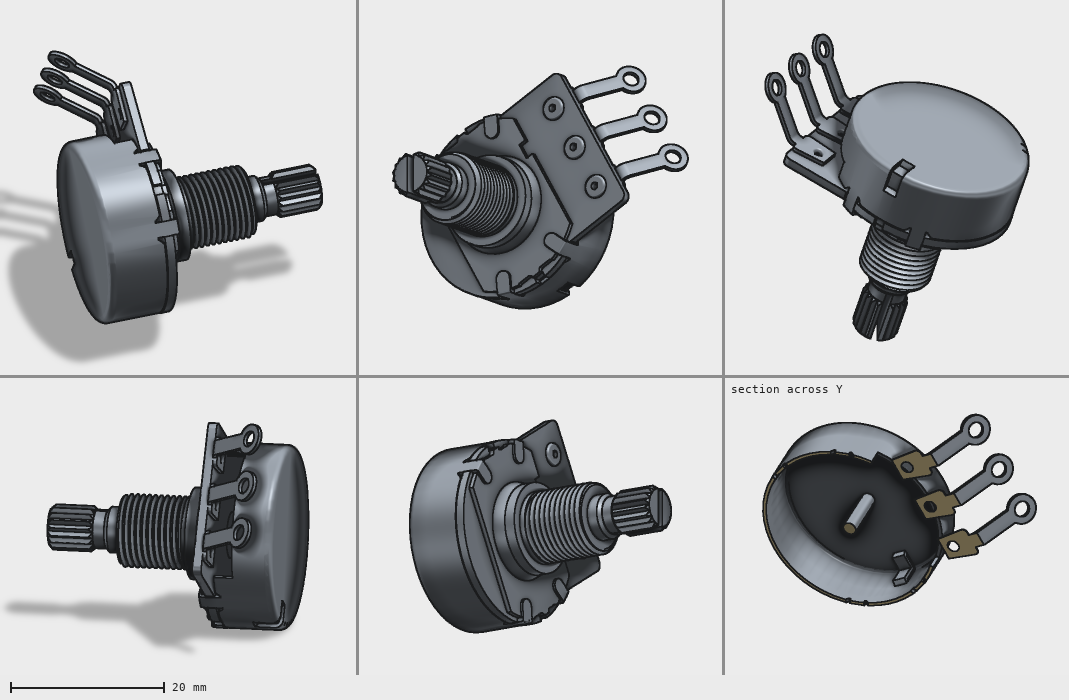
import cadquery as cq
import math


BODY_TURN = 30.0

CAN_RIM = 7.75
PLATE_BOTTOM = 7.9
PLATE_TOP = PLATE_BOTTOM + 1.18
BRACKET_TOP = PLATE_TOP + 0.65
CONE_TOP = BRACKET_TOP + 1.33
FLANGE_BOTTOM = CONE_TOP + 0.27
FLANGE_TOP = FLANGE_BOTTOM + 1.5
THREAD_BOTTOM = FLANGE_TOP + 0.78
BUSHING_TOP = 22.3
BARREL_TOP = 24.3
NECK_TOP = 25.8
SHAFT_TIP = 31.8

CAN_R = 12.07
CAN_WALL = 0.52
CAN_FILLET = 1.0
CAVITY_R = CAN_R - CAN_WALL
WINDOW_ANGLE = 90.0
WINDOW_FLOOR = 5.27

TAB_ANGLES = (65, 115, 245, 295)
TAB_WIDTH = 2.0
TAB_THICKNESS = 0.32
TAB_TOP = BRACKET_TOP + TAB_THICKNESS
TAB_TIP_CENTRE_R = 9.95
TAB_BEND_R = 0.3
RELIEF_DEPTH = 0.68
RELIEF_FLOOR_GAP = 0.2
RELIEF_RIM_GAP = 0.84

DENT_WIDTH = 1.86
DENT_DEPTH = 0.75
DENT_START = 8.87
DENT_HEIGHT = 3.58
DENT_SLOPE = 0.45

PLATE_R = 12.12
PLATE_HALF_WIDTH = 10.4
PLATE_END_X = -16.0
PLATE_CORNER_R = 1.0
KEY_WIDTH = 1.4
KEY_DEPTH = 0.7

BRACKET_R = 11.46
BRACKET_HALF_LENGTH = 7.58
BRACKET_NOTCH_DEPTH = 1.03
BRACKET_NOTCH_START = 2.82
BRACKET_NOTCH_WIDTH = 2.2
TONGUE_WIDTH = 1.33
TONGUE_RECESS_WIDTH = 2.3
TONGUE_RECESS_FLOOR = 10.95
TONGUE_RECESS_R = 0.4

TERMINAL_PITCH = 6.4
TERMINAL_THICKNESS = 0.52
RIVET_X = -12.95
PAD_INNER_X = -11.3
PAD_SHOULDER_X = -15.2
PAD_INNER_HALF = 1.6
PAD_OUTER_HALF = 2.0
PAD_CORNER_R = 0.6
STRIP_HALF = 1.0
BEND_START_X = -16.25
BEND_INNER_R = 1.0
BEND_ANGLE = 50.0
STRIP_LENGTH = 6.7
EYE_R = 1.97
EYE_HOLE_R = 1.03
RIVET_HEAD_R = 1.55
RIVET_HEAD_HEIGHT = 0.4
RIVET_HEAD_FILLET = 0.35
RIVET_BORE_R = 0.47
RIVET_FLARE_R = 0.53

CONE_BASE_R = 6.5
CONE_TOP_R = 6.1
FLANGE_R = 6.0
THREAD_R = 4.78
THREAD_PITCH = 25.4 / 32
THREAD_ROOT_R = 4.1
THREAD_ROOT_OVERLAP = 0.05
THREAD_RIDGE_SHARE = 0.96
THREAD_LEAD_IN = 0.43

SHAFT_R = 3.0
PIVOT_R = 0.9
BARREL_CHAMFER = 0.5
NECK_R = 2.54
SPLINE_COUNT = 18
SPLINE_CREST_R = 3.0
SPLINE_ROOT_R = 2.45
SPLINE_CHAMFER = 0.5
SLOT_WIDTH = 0.91


def polar(radius, degrees):
    """Point at a radius and an angle about the axis."""
    return (radius * math.cos(math.radians(degrees)), radius * math.sin(math.radians(degrees)))


def disc(radius, bottom, top):
    """Round slab on the shaft axis."""
    return cq.Workplane("XY").workplane(offset=bottom).circle(radius).extrude(top - bottom)


def block(x_min, x_max, y_min, y_max, z_min, z_max):
    """Box given by its limits."""
    corner = cq.Vector(x_min, y_min, z_min)
    return cq.Workplane(cq.Solid.makeBox(x_max - x_min, y_max - y_min, z_max - z_min, corner))


def spin(shape, degrees):
    """Shape turned about the shaft axis."""
    return shape.rotate((0, 0, 0), (0, 0, 1), degrees)


def make_window():
    """Wedge of the can wall left open under the terminals."""
    reach = 2 * CAN_R
    corners = [(0, 0), polar(reach, 180 - WINDOW_ANGLE / 2), polar(reach, 180 + WINDOW_ANGLE / 2)]
    wedge = cq.Workplane("XY").workplane(offset=WINDOW_FLOOR).polyline(corners).close()
    return wedge.extrude(CAN_RIM - WINDOW_FLOOR)


def make_tab_outline():
    """Plan of a folded tab on the +X side, as a prism standing on the can rim."""
    half = TAB_WIDTH / 2
    return (
        cq.Workplane("XY").workplane(offset=CAN_RIM)
        .moveTo(CAN_R + 1, -half).lineTo(TAB_TIP_CENTRE_R, -half)
        .threePointArc((TAB_TIP_CENTRE_R - half, 0), (TAB_TIP_CENTRE_R, half))
        .lineTo(CAN_R + 1, half).close().extrude(TAB_TOP - CAN_RIM)
    )


def make_tab_relief():
    """Clearance in the rim beside one edge of a tab on the +X side."""
    edge = TAB_WIDTH / 2
    floor = CAN_RIM - RELIEF_DEPTH
    points = [
        (edge, CAN_RIM), (edge, floor), (edge + RELIEF_FLOOR_GAP, floor), (edge + RELIEF_RIM_GAP, CAN_RIM),
    ]
    return cq.Workplane("YZ").polyline(points).close().extrude(CAN_R + 1)


def dent_section(inset):
    """L-shaped space from outside the can to the lanced strip, grown by an inset into the can."""
    depth = DENT_DEPTH + inset
    start = DENT_START - inset
    height = DENT_HEIGHT + inset
    wall = CAN_R - depth
    outside = CAN_R + 1
    points = [
        (start, -1), (start, 0), (start + DENT_SLOPE, depth), (wall, depth),
        (wall, height - DENT_SLOPE), (CAN_R, height), (outside, height), (outside, -1),
    ]
    return cq.Workplane("YZ").polyline(points).close().extrude(DENT_WIDTH / 2, both=True)


def make_can():
    envelope = disc(CAN_R, 0, TAB_TOP).faces("<Z").edges().fillet(CAN_FILLET)
    envelope = envelope.faces(">Z").edges().fillet(TAB_BEND_R)
    cavity = disc(CAVITY_R, CAN_WALL, BRACKET_TOP).faces("<Z").edges().fillet(CAN_FILLET - CAN_WALL)
    open_rim = disc(CAN_R + 1, CAN_RIM, TAB_TOP)
    for angle in TAB_ANGLES:
        open_rim = open_rim.cut(spin(make_tab_outline(), angle))
    can = envelope.cut(cavity).cut(open_rim).cut(make_window())

    relief = make_tab_relief()
    for angle in TAB_ANGLES:
        can = can.cut(spin(relief, angle))
        can = can.cut(spin(relief.mirror("XZ"), angle))

    strip = dent_section(CAN_WALL).cut(dent_section(0)).intersect(envelope)
    return can.cut(dent_section(CAN_WALL)).union(strip)


def make_plate():
    thickness = PLATE_TOP - PLATE_BOTTOM
    tail = block(PLATE_END_X, 0, -PLATE_HALF_WIDTH, PLATE_HALF_WIDTH, PLATE_BOTTOM, PLATE_TOP)
    tail = tail.edges("|Z and <X").fillet(PLATE_CORNER_R)
    plate = disc(PLATE_R, PLATE_BOTTOM, PLATE_TOP).union(tail)
    keys = (
        cq.Workplane("XY").workplane(offset=PLATE_BOTTOM)
        .pushPoints([(0, PLATE_R), (0, -PLATE_R)]).rect(KEY_WIDTH, 2 * KEY_DEPTH).extrude(thickness)
    )
    tab_slot = block(CAVITY_R, PLATE_R + 1, -TAB_WIDTH / 2, TAB_WIDTH / 2, PLATE_BOTTOM, PLATE_TOP)
    plate = plate.cut(keys)
    for angle in TAB_ANGLES:
        plate = plate.cut(spin(tab_slot, angle))
    return plate


def make_bracket():
    length = BRACKET_HALF_LENGTH
    bracket = disc(BRACKET_R, PLATE_TOP, BRACKET_TOP).intersect(
        block(-length, length, -BRACKET_R, BRACKET_R, PLATE_TOP, BRACKET_TOP)
    )
    notch_end = -BRACKET_NOTCH_START - BRACKET_NOTCH_WIDTH
    notch = block(
        -length, -length + BRACKET_NOTCH_DEPTH, notch_end, -BRACKET_NOTCH_START, PLATE_TOP, BRACKET_TOP
    )
    bracket = bracket.cut(notch)
    recess_x = (TONGUE_WIDTH + TONGUE_RECESS_WIDTH) / 2
    recess_depth = 2 * (BRACKET_R - TONGUE_RECESS_FLOOR)
    recesses = (
        cq.Workplane("XY").workplane(offset=PLATE_TOP)
        .pushPoints([(x, y) for x in (-recess_x, recess_x) for y in (-BRACKET_R, BRACKET_R)])
        .rect(TONGUE_RECESS_WIDTH, recess_depth).extrude(BRACKET_TOP - PLATE_TOP)
        .edges("|Z").fillet(TONGUE_RECESS_R)
    )
    return bracket.cut(recesses)


def make_terminal_strip():
    """Bent strip with its eye, centred on Y = 0."""
    turn = math.radians(BEND_ANGLE)
    outer_r = BEND_INNER_R + TERMINAL_THICKNESS
    centre_z = PLATE_BOTTOM - outer_r
    bend = (
        cq.Workplane("XZ").moveTo(BEND_START_X, centre_z).lineTo(BEND_START_X, centre_z + outer_r)
        .threePointArc(
            (BEND_START_X - outer_r * math.sin(turn / 2), centre_z + outer_r * math.cos(turn / 2)),
            (BEND_START_X - outer_r * math.sin(turn), centre_z + outer_r * math.cos(turn)),
        )
        .close().extrude(STRIP_HALF, both=True)
    )
    core = (
        cq.Workplane("XZ").center(BEND_START_X, centre_z).circle(BEND_INNER_R).extrude(STRIP_HALF, both=True)
    )
    flat = cq.Workplane("XY").rect(2 * STRIP_LENGTH, 2 * STRIP_HALF).extrude(TERMINAL_THICKNESS)
    flat = flat.intersect(block(-STRIP_LENGTH, 0, -EYE_R, EYE_R, 0, TERMINAL_THICKNESS))
    eye = cq.Workplane("XY").center(-STRIP_LENGTH, 0)
    flat = flat.union(eye.circle(EYE_R).extrude(TERMINAL_THICKNESS))
    flat = flat.cut(eye.circle(EYE_HOLE_R).extrude(TERMINAL_THICKNESS))
    flat = flat.translate((0, 0, BEND_INNER_R)).rotate((0, 0, 0), (0, 1, 0), -BEND_ANGLE)
    return bend.cut(core).union(flat.translate((BEND_START_X, 0, centre_z)))


def make_terminal():
    """Pad under the plate with its bent strip and the rivet head above the plate."""
    bottom = PLATE_BOTTOM - TERMINAL_THICKNESS
    pad = (
        cq.Workplane("XY").workplane(offset=bottom)
        .polyline([
            (PAD_INNER_X, -PAD_INNER_HALF), (PAD_INNER_X, PAD_INNER_HALF),
            (PAD_SHOULDER_X, PAD_OUTER_HALF), (PLATE_END_X, PAD_OUTER_HALF),
            (PLATE_END_X, -PAD_OUTER_HALF), (PAD_SHOULDER_X, -PAD_OUTER_HALF),
        ])
        .close().extrude(TERMINAL_THICKNESS)
        .edges("|Z and <X").fillet(PAD_CORNER_R)
    )
    neck = block(BEND_START_X, PLATE_END_X, -STRIP_HALF, STRIP_HALF, bottom, PLATE_BOTTOM)
    head = (
        cq.Workplane("XY").workplane(offset=PLATE_TOP).center(RIVET_X, 0).circle(RIVET_HEAD_R)
        .extrude(RIVET_HEAD_HEIGHT).faces(">Z").edges().fillet(RIVET_HEAD_FILLET)
    )
    return pad.union(neck).union(make_terminal_strip()).union(head)


def make_rivet_bore():
    """Through bore with a rolled-over mouth under the pad, centred on Y = 0."""
    bottom = PLATE_BOTTOM - TERMINAL_THICKNESS
    top = PLATE_TOP + RIVET_HEAD_HEIGHT
    mouth_r = RIVET_BORE_R + RIVET_FLARE_R
    roll = RIVET_FLARE_R * math.sqrt(0.5)
    bore = (
        cq.Workplane("XZ").moveTo(0, bottom).lineTo(mouth_r, bottom)
        .threePointArc(
            (mouth_r - roll, bottom + RIVET_FLARE_R - roll), (RIVET_BORE_R, bottom + RIVET_FLARE_R)
        )
        .lineTo(RIVET_BORE_R, top).lineTo(0, top).close().revolve(360, (0, 0, 0), (0, 1, 0))
    )
    return bore.translate((RIVET_X, 0, 0))


def make_bushing():
    core = (
        cq.Workplane("XZ")
        .polyline([
            (0, BRACKET_TOP), (CONE_BASE_R, BRACKET_TOP), (CONE_TOP_R, CONE_TOP),
            (FLANGE_R, FLANGE_BOTTOM), (FLANGE_R, FLANGE_TOP), (THREAD_R, FLANGE_TOP),
            (THREAD_R, THREAD_BOTTOM), (THREAD_ROOT_R, THREAD_BOTTOM),
            (THREAD_ROOT_R, BUSHING_TOP), (0, BUSHING_TOP),
        ])
        .close().revolve(360, (0, 0, 0), (0, 1, 0))
    )
    return core.union(make_thread())


def make_thread():
    """Right-handed V ridge, trimmed to the threaded length with a lead-in at its top."""
    foot_r = THREAD_ROOT_R - THREAD_ROOT_OVERLAP
    half_foot = THREAD_PITCH * THREAD_RIDGE_SHARE / 2
    length = BUSHING_TOP - THREAD_BOTTOM + 2 * THREAD_PITCH
    helix = cq.Wire.makeHelix(THREAD_PITCH, length, foot_r)
    ridge = (
        cq.Workplane("XZ")
        .polyline([(foot_r, -half_foot), (THREAD_R, 0), (foot_r, half_foot)])
        .close().sweep(cq.Workplane(helix), isFrenet=True)
        .translate((0, 0, THREAD_BOTTOM - THREAD_PITCH))
    )
    limit = disc(THREAD_R + 1, THREAD_BOTTOM, BUSHING_TOP)
    envelope = disc(THREAD_R + THREAD_LEAD_IN, THREAD_BOTTOM - 1, BUSHING_TOP)
    envelope = envelope.faces(">Z").edges().chamfer(2 * THREAD_LEAD_IN)
    return ridge.intersect(limit.intersect(envelope))


def make_housing():
    housing = make_can().union(make_plate()).union(make_bracket()).union(make_bushing())
    for row in (-1, 0, 1):
        housing = housing.union(make_terminal().translate((0, row * TERMINAL_PITCH, 0)))
    for row in (-1, 0, 1):
        housing = housing.cut(make_rivet_bore().translate((0, row * TERMINAL_PITCH, 0)))
    return housing.cut(disc(SHAFT_R, PLATE_BOTTOM, BUSHING_TOP))


def make_splines():
    half_pitch = 180 / SPLINE_COUNT
    points = []
    for tooth in range(SPLINE_COUNT):
        points.append(polar(SPLINE_ROOT_R, 2 * tooth * half_pitch))
        points.append(polar(SPLINE_CREST_R, (2 * tooth + 1) * half_pitch))
    splines = cq.Workplane("XY").workplane(offset=NECK_TOP).polyline(points).close()
    splines = splines.extrude(SHAFT_TIP - NECK_TOP)
    envelope = disc(SPLINE_CREST_R, NECK_TOP, SHAFT_TIP).edges().chamfer(SPLINE_CHAMFER)
    return splines.intersect(envelope)


def make_shaft():
    barrel = disc(SHAFT_R, PLATE_BOTTOM, BARREL_TOP).faces(">Z").edges().chamfer(BARREL_CHAMFER)
    neck = disc(NECK_R, BARREL_TOP, NECK_TOP)
    pivot = disc(PIVOT_R, CAN_WALL, PLATE_BOTTOM)
    slot = block(-SLOT_WIDTH / 2, SLOT_WIDTH / 2, -2 * SHAFT_R, 2 * SHAFT_R, BARREL_TOP, SHAFT_TIP)
    return barrel.union(pivot).union(neck).union(make_splines()).cut(slot)


def lay_over(shape, turn):
    """Shape tipped so that its axis points to +Y, then turned about that axis."""
    return shape.rotate((0, 0, 0), (1, 0, 0), -90).rotate((0, 0, 0), (0, 1, 0), turn)


housing = lay_over(make_housing(), BODY_TURN)
shaft = lay_over(make_shaft(), 0)
result = cq.Compound.makeCompound([housing.val(), shaft.val()])